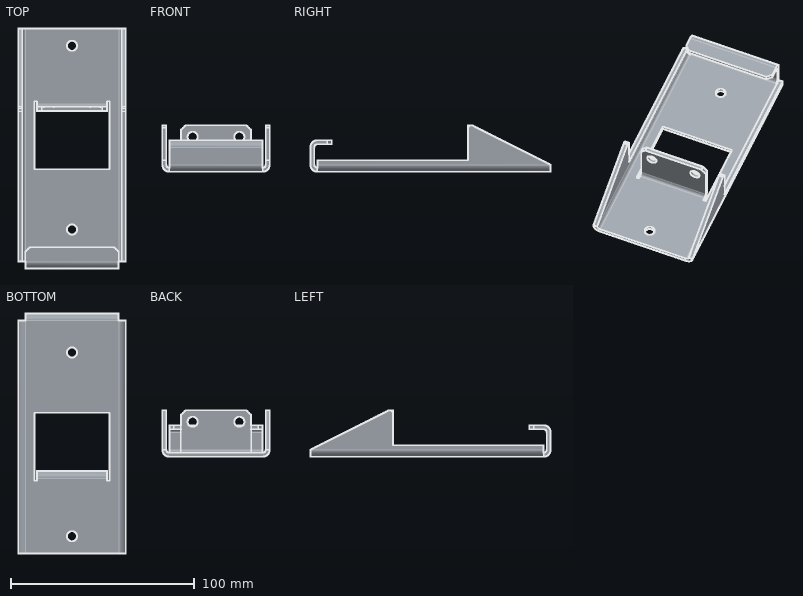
import cadquery as cq
import math

sheet = 2.286
bend_inner = 1.5875
bend_outer = bend_inner + sheet

base_width = 50.8
base_length = 127.0
back_y = base_length / 2
front_y = -base_length / 2
overall_height = 25.4

wall_outer_x = base_width / 2 + bend_outer
low_wall_height = 6.35
wall_peak_to_back = 45.085
wall_peak_flat = 2.29
wall_corner_chamfer = 1.27

hook_opening = 12.7
hook_height = hook_opening + 2 * sheet
hook_lip = 7.874
corner_chamfer = 2.54

window_width = 40.64
window_back_y = back_y - 39.8
window_front_y = back_y - 76.6
tab_width = 38.1
tab_front_y = back_y - wall_peak_to_back
tab_bend_y = tab_front_y + bend_outer

hole_diameter = 5.4
base_hole_setback = 9.525
base_hole_spacing = 100.0
tab_hole_spacing = 25.4
tab_hole_z = 19.05

DIAGONAL = math.sqrt(0.5)


def box(x_min, x_max, y_min, y_max, z_min, z_max):
    """Axis-aligned block between the given limits."""
    size = (x_max - x_min, y_max - y_min, z_max - z_min)
    return cq.Workplane("XY").box(*size, centered=False).translate((x_min, y_min, z_min))


def upright_profile(bend_start, top):
    """Outline of a bend rising from a horizontal sheet, then a straight leg up to the given height.

    The first coordinate runs outward and the bend starts at bend_start.
    """
    mid_outer = bend_outer * DIAGONAL
    mid_inner = bend_inner * DIAGONAL
    return (
        cq.Workplane("YZ")
        .moveTo(bend_start, 0)
        .threePointArc((bend_start + mid_outer, bend_outer - mid_outer), (bend_start + bend_outer, bend_outer))
        .lineTo(bend_start + bend_outer, top)
        .lineTo(bend_start + bend_inner, top)
        .lineTo(bend_start + bend_inner, bend_outer)
        .threePointArc((bend_start + mid_inner, bend_outer - mid_inner), (bend_start, sheet))
        .close()
    )


def make_base():
    base = box(-base_width / 2, base_width / 2, front_y, back_y, 0, sheet)
    window = box(-window_width / 2, window_width / 2, window_front_y, window_back_y, 0, sheet)
    tongue = box(-tab_width / 2, tab_width / 2, tab_bend_y, window_back_y, 0, sheet)
    base = base.cut(window).union(tongue)
    back_hole_y = back_y - base_hole_setback
    holes = (
        cq.Workplane("XY")
        .pushPoints([(0, back_hole_y), (0, back_hole_y - base_hole_spacing)])
        .circle(hole_diameter / 2)
        .extrude(sheet)
    )
    return base.cut(holes)


def make_right_wall():
    """Low wall along +X that rises to a sloped gusset toward the back."""
    full_wall = (
        upright_profile(base_width / 2, overall_height)
        .extrude(base_length / 2, both=True)
        .rotate((0, 0, 0), (0, 0, 1), -90)
    )
    peak_y = back_y - wall_peak_to_back
    side_outline = (
        cq.Workplane("YZ")
        .moveTo(front_y, 0)
        .lineTo(back_y, 0)
        .lineTo(back_y, bend_outer)
        .lineTo(peak_y + wall_peak_flat, overall_height)
        .lineTo(peak_y + wall_corner_chamfer, overall_height)
        .lineTo(peak_y, overall_height - wall_corner_chamfer)
        .lineTo(peak_y, low_wall_height)
        .lineTo(front_y, low_wall_height)
        .close()
        .extrude(wall_outer_x)
    )
    return full_wall.intersect(side_outline)


def make_hook():
    """C-shaped hook at the front: up from the base, then back over it."""
    half_height = hook_height / 2
    lower = upright_profile(back_y, half_height).extrude(base_width / 2, both=True)
    upper = lower.mirror("XY", (0, 0, half_height))
    lip = box(
        -base_width / 2, base_width / 2,
        back_y - hook_lip, back_y,
        hook_height - sheet, hook_height,
    )
    lip = lip.edges("|Z and <Y").chamfer(corner_chamfer)
    return lower.union(upper).union(lip).rotate((0, 0, 0), (0, 0, 1), 180)


def make_tab():
    """Upright tab with two holes, folded out of the window's back edge."""
    tab = (
        upright_profile(-tab_bend_y, overall_height)
        .extrude(tab_width / 2, both=True)
        .rotate((0, 0, 0), (0, 0, 1), 180)
    )
    tab = tab.edges("|Y and >Z").chamfer(corner_chamfer)
    holes = (
        cq.Workplane("XZ", origin=(0, tab_front_y, tab_hole_z))
        .pushPoints([(-tab_hole_spacing / 2, 0), (tab_hole_spacing / 2, 0)])
        .circle(hole_diameter / 2)
        .extrude(-sheet)
    )
    return tab.cut(holes)


right_wall = make_right_wall()
left_wall = right_wall.mirror("YZ")
result = make_base().union(right_wall).union(left_wall).union(make_hook()).union(make_tab())